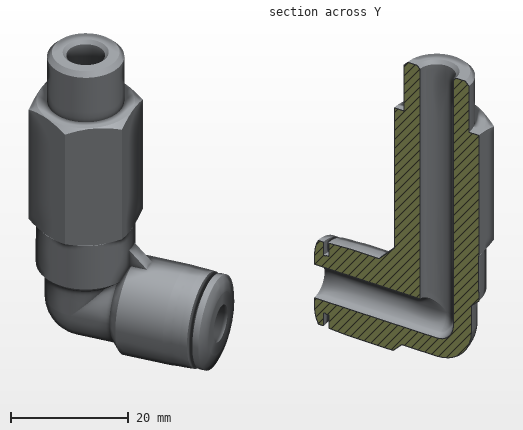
import cadquery as cq
import math


socket_radius = 17.5 / 2
overall_height = 58.45
stem_top = overall_height - socket_radius
spigot_length = 9.95
spigot_chamfer_height = 0.8
hex_length = 24.15
hex_top = stem_top - spigot_length
hex_bottom = hex_top - hex_length
collar_cone_top = 6.7
collar_bottom = 5.3

spigot_radius = 13.15 / 2
spigot_tip_radius = 11.5 / 2
hex_corner_diameter = 19.65
hex_corner_radius = hex_corner_diameter / 2
hex_flat_radius = hex_corner_radius * math.cos(math.radians(30))
collar_radius = 17.0 / 2
hex_face_radius = 16.8 / 2
hex_chamfer_angle = 30
elbow_radius = 7.0

overall_length = 33.1
socket_end = overall_length - hex_flat_radius
socket_start = 7.0
socket_full_start = 8.75
taper_start = 17.4
taper_end = 20.45
body_end = 21.75
neck_step = 22.3
disk_start = 22.7
disk_rim_end = 23.8

taper_end_radius = 8.6
body_end_radius = 17.0 / 2
neck_shoulder_radius = 5.9
neck_radius = 11.5 / 2
disk_radius = 16.8 / 2
disk_face_radius = 5.6
disk_bulge = 0.145

bore_radius = 6.6 / 2
bore_mouth_radius = 7.85 / 2
bore_chamfer = bore_mouth_radius - bore_radius

rib_width = 2.5
rib_top = 11.8


def revolve_about_z(points):
    """Revolve an (X, Z) half profile about the stem axis."""
    return cq.Workplane("XZ").polyline(points).close().revolve(360, (0, 0), (0, 1))


def make_hexagon():
    """Hexagon with flats facing X, both ends trimmed by cones."""
    prism = (
        cq.Workplane("XY", origin=(0, 0, hex_bottom))
        .polygon(6, hex_corner_diameter)
        .extrude(hex_length)
        .rotate((0, 0, 0), (0, 0, 1), 30)
    )
    trim_radius = hex_corner_radius + 0.6
    cone_drop = (trim_radius - hex_face_radius) * math.tan(math.radians(hex_chamfer_angle))
    trimmer = revolve_about_z([
        (0, hex_bottom),
        (hex_face_radius, hex_bottom),
        (trim_radius, hex_bottom + cone_drop),
        (trim_radius, hex_top - cone_drop),
        (hex_face_radius, hex_top),
        (0, hex_top),
    ])
    return prism.intersect(trimmer)


def make_stem():
    """Elbow leg, collar, hexagon core and spigot as one turned shape."""
    return revolve_about_z([
        (0, 0),
        (elbow_radius, 0),
        (elbow_radius, collar_bottom),
        (collar_radius, collar_cone_top),
        (collar_radius, hex_bottom),
        (spigot_radius, hex_bottom),
        (spigot_radius, stem_top - spigot_chamfer_height),
        (spigot_tip_radius, stem_top),
        (0, stem_top),
    ])


def make_socket():
    """Push-in socket with its stepped neck and crowned release disk, turned about X."""
    crown_middle = (
        (disk_rim_end + socket_end) / 2 + disk_bulge,
        (disk_radius + disk_face_radius) / 2 + disk_bulge,
    )
    return (
        cq.Workplane("XZ")
        .lineTo(0, elbow_radius)
        .lineTo(socket_start, elbow_radius)
        .lineTo(socket_full_start, socket_radius)
        .lineTo(taper_start, socket_radius)
        .lineTo(taper_end, taper_end_radius)
        .lineTo(body_end, body_end_radius)
        .lineTo(body_end, neck_shoulder_radius)
        .lineTo(neck_step, neck_shoulder_radius)
        .lineTo(neck_step, neck_radius)
        .lineTo(disk_start, neck_radius)
        .lineTo(disk_start, disk_radius)
        .lineTo(disk_rim_end, disk_radius)
        .threePointArc(crown_middle, (socket_end, disk_face_radius))
        .lineTo(socket_end, 0)
        .close()
        .revolve(360, (0, 0), (1, 0))
    )


def make_rib():
    """45 degree rib whose inner corner lies inside the collar and socket."""
    rib_foot = collar_radius + rib_top - elbow_radius
    return (
        cq.Workplane("XZ")
        .moveTo(elbow_radius, elbow_radius)
        .lineTo(rib_foot, elbow_radius)
        .lineTo(elbow_radius, rib_foot)
        .close()
        .extrude(rib_width / 2, both=True)
    )


def make_passage():
    """Bore turning from the stem into the socket around a spherical corner."""
    stem_bore = revolve_about_z([
        (0, 0),
        (bore_radius, 0),
        (bore_radius, stem_top - bore_chamfer),
        (bore_mouth_radius, stem_top),
        (0, stem_top),
    ])
    socket_bore = cq.Workplane("YZ").circle(bore_radius).extrude(socket_end)
    return stem_bore.union(socket_bore).union(cq.Workplane("XY").sphere(bore_radius))


elbow_corner = cq.Workplane("XY").sphere(elbow_radius)
result = (
    make_stem()
    .union(make_hexagon())
    .union(elbow_corner)
    .union(make_socket())
    .union(make_rib())
    .cut(make_passage())
)